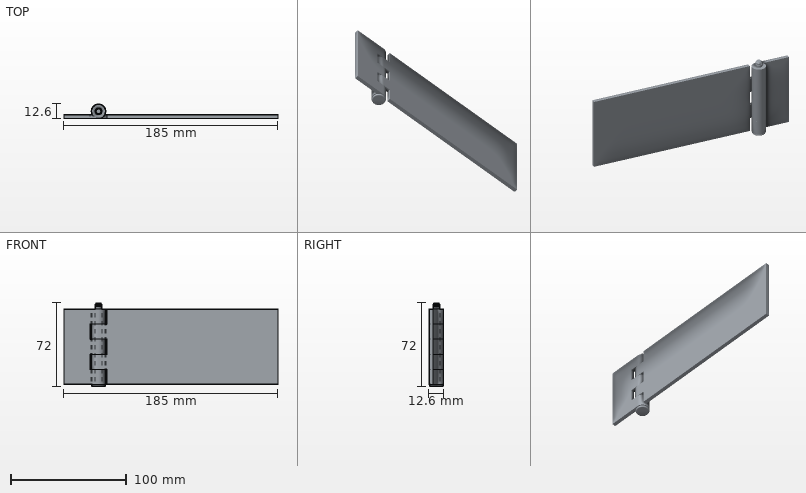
import cadquery as cq

total_length = 185.0
leaf_height = 65.0
leaf_thickness = 3.3

barrel_radius = 6.3
knuckle_count = 5
knuckle_height = leaf_height / knuckle_count
knuckle_clearance = 7.2
axis_x = 30.0
axis_y = barrel_radius

pin_radius = 3.0
head_radius = 6.0
head_height = 1.8
groove_radius = 2.4
tip_radius = 2.0
groove_bottom = 2.2
groove_top = 3.3
tip_chamfer_start = 3.9
pin_projection = 5.2


def plate(x_start, x_end, z_start, height):
    """Flat slab lying on the y = 0 plane."""
    return cq.Workplane("XY").box(
        x_end - x_start, leaf_thickness, height, centered=False
    ).translate((x_start, 0, z_start))


def axis_cylinder(radius, z_start, height):
    """Cylinder around the hinge axis."""
    return (
        cq.Workplane("XY", origin=(axis_x, axis_y, z_start))
        .circle(radius)
        .extrude(height)
    )


def make_leaf(plate_start, plate_end, outer_edge, knuckle_indices):
    """Plate with tongues that run tangentially into bored knuckles."""
    leaf = plate(plate_start, plate_end, 0, leaf_height)
    tongue_start = min(outer_edge, axis_x)
    tongue_end = max(outer_edge, axis_x)
    for index in knuckle_indices:
        z_start = index * knuckle_height
        leaf = leaf.union(plate(tongue_start, tongue_end, z_start, knuckle_height))
        leaf = leaf.union(axis_cylinder(barrel_radius, z_start, knuckle_height))
    return leaf.cut(axis_cylinder(pin_radius, 0, leaf_height))


def make_head():
    """Disc under the leaves with a fully rounded rim."""
    rim_radius = head_height / 2
    flat_radius = head_radius - rim_radius
    profile = (
        cq.Workplane("XZ", origin=(axis_x, axis_y, 0))
        .lineTo(flat_radius, 0)
        .threePointArc((head_radius, -rim_radius), (flat_radius, -head_height))
        .lineTo(0, -head_height)
        .close()
    )
    return profile.revolve(360, (0, 0), (0, 1))


def make_pin():
    """Headed pin with a retaining groove and a tapered tip."""
    groove_z = leaf_height + groove_bottom
    groove_height = groove_top - groove_bottom
    chamfer_height = pin_projection - tip_chamfer_start

    head = make_head()
    shank = axis_cylinder(pin_radius, 0, leaf_height + pin_projection)
    shank = shank.faces(">Z").chamfer(chamfer_height, pin_radius - tip_radius)
    groove = axis_cylinder(pin_radius, groove_z, groove_height).cut(
        axis_cylinder(groove_radius, groove_z, groove_height)
    )
    return head.union(shank).cut(groove)


short_leaf = make_leaf(0, axis_x - knuckle_clearance, 0, range(0, knuckle_count, 2))
long_leaf = make_leaf(
    axis_x + knuckle_clearance, total_length, total_length, range(1, knuckle_count, 2)
)
pin = make_pin()

result = cq.Compound.makeCompound([short_leaf.val(), long_leaf.val(), pin.val()])